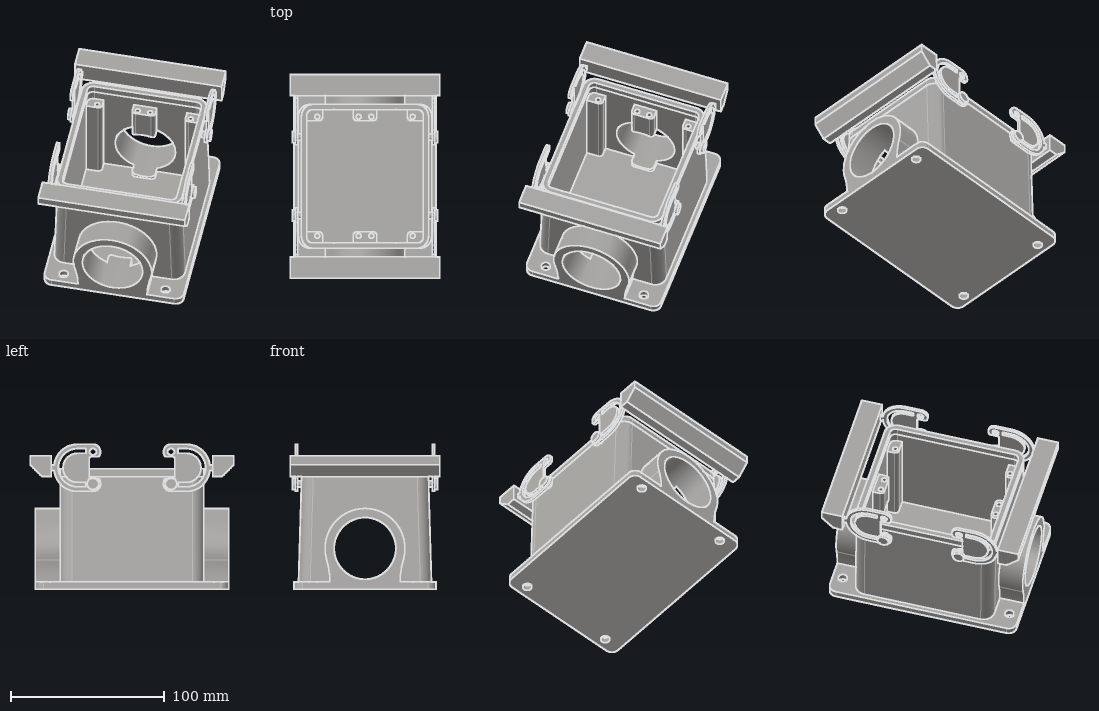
import cadquery as cq
import math

base_width = 92.4
base_length = 126.0
base_thickness = 5.0
base_corner_radius = 5.4
mount_hole_diameter = 5.8
mount_hole_spacing_x = 67.6
mount_hole_spacing_y = 112.4

wall_bottom_width = 86.6
wall_top_width = 82.6
wall_length = 93.5
wall_top_z = 73.3
wall_corner_radius = 7.5

cavity_width = 75.8
cavity_length = 86.6
cavity_corner_radius = 3.8

rim_top_z = 78.6

entry_center_z = 26.7
entry_outer_radius = 26.0
entry_bore_radius = 20.0
entry_flare_radius = 50.0

post_top_z = 66.8
post_face_y = 36.0
post_edge_radius = 2.5
corner_post_face_x = 27.6
middle_post_width = 15.3
screw_hole_diameter = 3.2
screw_hole_depth = 12.0
screw_row_y = 38.7
corner_screw_x = 31.0
middle_screw_x = 4.15

plate_inner_x = 43.6
plate_thickness = 1.7
lever_center_y = 35.4
lever_center_z = 79.1
lever_radius = 15.4
slot_outer_radius = 12.4
slot_inner_radius = 9.5
slot_end_y = 30.0
slot_corner_radius = 0.5

hook_radius = 5.0
hook_center_y = 25.4
mouth_half_height = 7.1
hook_tip_radius = 1.5
mouth_y = 27.7
mouth_corner_radius = 1.0
hook_hole_diameter = 4.2

pin_diameter = hook_hole_diameter
pin_head_diameter = 7.5
pin_head_thickness = 1.9

bar_width = 97.4
bar_inner_y = 52.45
bar_outer_y = 66.3
bar_bottom_z = wall_top_z
bar_top_z = 87.0
bar_chamfer = 7.8
neck_height = 3.8

hook_offset_z = lever_radius - hook_radius
pin_z = lever_center_z - hook_offset_z


def rounded_block(width, length, bottom_z, top_z, radius):
    """Upright block centred on the Z axis with rounded vertical edges."""
    return (
        cq.Workplane("XY", origin=(0, 0, bottom_z))
        .rect(width, length)
        .extrude(top_z - bottom_z)
        .edges("|Z")
        .fillet(radius)
    )


def make_base():
    base = rounded_block(base_width, base_length, 0, base_thickness, base_corner_radius)
    return (
        base.faces(">Z")
        .workplane(origin=(0, 0, base_thickness))
        .rect(mount_hole_spacing_x, mount_hole_spacing_y, forConstruction=True)
        .vertices()
        .hole(mount_hole_diameter)
    )


def make_wall():
    """Solid tapered body: the long sides lean inward, the ends are upright."""
    return (
        cq.Workplane("XZ", origin=(0, wall_length / 2, 0))
        .moveTo(-wall_bottom_width / 2, base_thickness)
        .lineTo(wall_bottom_width / 2, base_thickness)
        .lineTo(wall_top_width / 2, wall_top_z)
        .lineTo(-wall_top_width / 2, wall_top_z)
        .close()
        .extrude(wall_length)
        .edges("not (#Z or |Y)")
        .fillet(wall_corner_radius)
    )


def make_entries():
    """Round collars standing on the base on concave flared feet, as one bar along Y."""
    rise = entry_center_z - base_thickness
    center_distance = entry_outer_radius + entry_flare_radius
    flare_center_x = math.sqrt(center_distance**2 - rise**2)
    foot_x = flare_center_x - entry_flare_radius
    flare_angle = math.asin(rise / center_distance)

    join_x = entry_outer_radius * math.cos(flare_angle)
    join_z = entry_center_z - entry_outer_radius * math.sin(flare_angle)
    flare_mid_x = flare_center_x - entry_flare_radius * math.cos(flare_angle / 2)
    flare_mid_z = base_thickness + entry_flare_radius * math.sin(flare_angle / 2)

    return (
        cq.Workplane("XZ", origin=(0, base_length / 2, 0))
        .moveTo(-foot_x, base_thickness)
        .lineTo(foot_x, base_thickness)
        .threePointArc((flare_mid_x, flare_mid_z), (join_x, join_z))
        .threePointArc((0, entry_center_z + entry_outer_radius), (-join_x, join_z))
        .threePointArc((-flare_mid_x, flare_mid_z), (-foot_x, base_thickness))
        .close()
        .extrude(base_length)
    )


def make_cavity(bottom_z, top_z):
    return rounded_block(cavity_width, cavity_length, bottom_z, top_z, cavity_corner_radius)


def make_post(center_x, width, side):
    """Screw post against an end wall; it reaches into the wall behind the cavity."""
    depth = wall_length / 2 - post_face_y
    center_y = side * (post_face_y + depth / 2)
    return (
        cq.Workplane("XY", origin=(center_x, center_y, base_thickness))
        .rect(width, depth)
        .extrude(post_top_z - base_thickness)
        .edges("|Z")
        .edges("<Y" if side > 0 else ">Y")
        .fillet(post_edge_radius)
    )


def make_posts():
    """Two corner posts and one middle post at each end, trimmed to the cavity."""
    corner_width = cavity_width / 2 + post_edge_radius - corner_post_face_x
    corner_center_x = corner_post_face_x + corner_width / 2
    posts = cq.Workplane("XY")
    for side in (-1, 1):
        for x, width in (
            (-corner_center_x, corner_width),
            (0, middle_post_width),
            (corner_center_x, corner_width),
        ):
            posts = posts.union(make_post(x, width, side))
    return posts.intersect(make_cavity(base_thickness, wall_top_z))


def make_screw_holes():
    centers = [
        (x, y)
        for x in (-corner_screw_x, -middle_screw_x, middle_screw_x, corner_screw_x)
        for y in (-screw_row_y, screw_row_y)
    ]
    return (
        cq.Workplane("XY", origin=(0, 0, post_top_z))
        .pushPoints(centers)
        .circle(screw_hole_diameter / 2)
        .extrude(-screw_hole_depth)
    )


def lever_plane(x):
    """Workplane facing +X whose local axes are Y and Z."""
    return cq.Workplane("YZ", origin=(x, 0, 0))


def make_u_band(radius, end_y):
    """Half disc on the handle side, carried straight on to end_y."""
    top_z = lever_center_z + radius
    bottom_z = lever_center_z - radius
    return (
        lever_plane(plate_inner_x)
        .moveTo(end_y, bottom_z)
        .lineTo(lever_center_y, bottom_z)
        .threePointArc((lever_center_y + radius, lever_center_z), (lever_center_y, top_z))
        .lineTo(end_y, top_z)
        .close()
        .extrude(plate_thickness)
    )


def make_plate():
    """C-shaped side plate with an open mouth between two hooks and a curved slot."""
    hook_centers = [
        (hook_center_y, lever_center_z - hook_offset_z),
        (hook_center_y, lever_center_z + hook_offset_z),
    ]
    hooks = (
        lever_plane(plate_inner_x)
        .pushPoints(hook_centers)
        .circle(hook_radius)
        .extrude(plate_thickness)
    )
    mouth_depth = mouth_y - (hook_center_y - hook_radius)
    mouth = (
        lever_plane(plate_inner_x)
        .center(mouth_y - mouth_depth / 2, lever_center_z)
        .rect(mouth_depth, 2 * mouth_half_height)
        .extrude(plate_thickness)
        .edges("|X and >Y")
        .fillet(mouth_corner_radius)
    )
    slot = (
        make_u_band(slot_outer_radius, slot_end_y)
        .cut(make_u_band(slot_inner_radius, slot_end_y))
        .edges("|X and <Y")
        .fillet(slot_corner_radius)
    )
    hook_hole = (
        lever_plane(plate_inner_x)
        .center(*hook_centers[1])
        .circle(hook_hole_diameter / 2)
        .extrude(plate_thickness)
    )
    plate = make_u_band(lever_radius, hook_center_y).union(hooks).cut(mouth)
    plate = plate.edges("|X").edges("<Y").fillet(hook_tip_radius)
    return plate.cut(slot).cut(hook_hole)


def make_neck():
    """Short web joining the plate to the handle bar."""
    start_y = lever_center_y + (slot_outer_radius + lever_radius) / 2
    return (
        lever_plane(plate_inner_x)
        .center((start_y + bar_inner_y) / 2, lever_center_z)
        .rect(bar_inner_y - start_y, neck_height)
        .extrude(plate_thickness)
    )


def make_pin():
    """Hinge pin from inside the wall out through the lower hook, with a round head."""
    shaft_start_x = (cavity_width + wall_top_width) / 4
    head_x = plate_inner_x + plate_thickness
    shaft = (
        lever_plane(shaft_start_x)
        .center(hook_center_y, pin_z)
        .circle(pin_diameter / 2)
        .extrude(head_x - shaft_start_x)
    )
    head = (
        lever_plane(head_x)
        .center(hook_center_y, pin_z)
        .circle(pin_head_diameter / 2)
        .extrude(pin_head_thickness)
    )
    return shaft.union(head)


def make_bar():
    """Handle bar across the end, chamfered along its lower outer edge."""
    return (
        lever_plane(-bar_width / 2)
        .moveTo(bar_inner_y, bar_bottom_z)
        .lineTo(bar_outer_y - bar_chamfer, bar_bottom_z)
        .lineTo(bar_outer_y, bar_bottom_z + bar_chamfer)
        .lineTo(bar_outer_y, bar_top_z)
        .lineTo(bar_inner_y, bar_top_z)
        .close()
        .extrude(bar_width)
    )


def make_lever():
    """Complete lever at the +Y end, with its two hinge pins."""
    arm = make_plate().union(make_neck()).union(make_pin())
    return make_bar().union(arm).union(arm.mirror("YZ"))


def make_housing():
    """Box with cable entries, posts and both hinged levers joined to its walls."""
    bores = (
        cq.Workplane("XZ", origin=(0, base_length / 2, entry_center_z))
        .circle(entry_bore_radius)
        .extrude(base_length)
    )
    lever = make_lever()
    return (
        make_base()
        .union(make_wall())
        .union(make_entries())
        .cut(make_cavity(base_thickness, wall_top_z))
        .union(make_posts())
        .cut(bores)
        .cut(make_screw_holes())
        .union(lever)
        .union(lever.rotate((0, 0, 0), (0, 0, 1), 180))
    )


def make_rim_frame():
    """Upright frame that continues the wall above its top edge."""
    frame = rounded_block(wall_top_width, wall_length, wall_top_z, rim_top_z, wall_corner_radius)
    return frame.cut(make_cavity(wall_top_z, rim_top_z))


housing = make_housing()
rim_frame = make_rim_frame()

result = cq.Compound.makeCompound([housing.val(), rim_frame.val()])